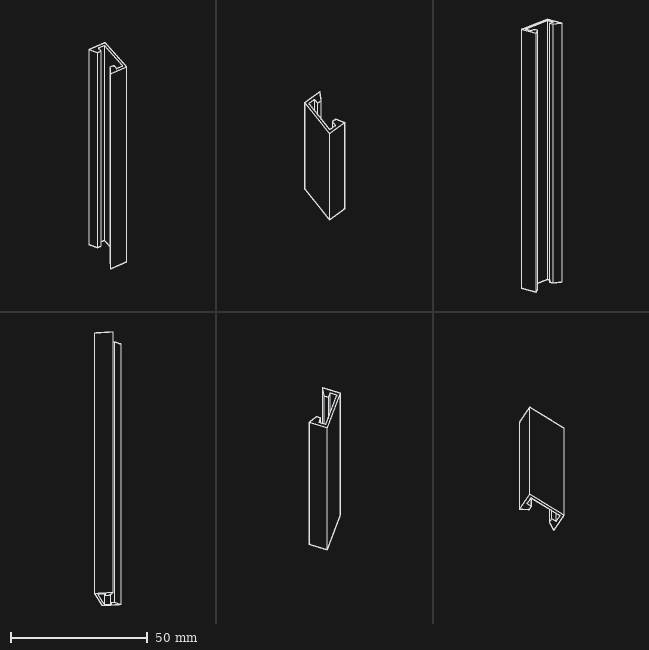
import cadquery as cq

width = 15.0
depth = 7.0
length = 100.0

wall = 1.2
web = 1.0
lip_reach = 3.1
lip_back = 3.6
lip_tip_depth = 5.2

half_width = width / 2
inner_x = half_width - wall
tip_x = half_width - lip_reach
back_y = depth / 2

half_section = [
    (0, back_y),
    (half_width, back_y),
    (half_width, -back_y),
    (tip_x, back_y - lip_tip_depth),
    (tip_x, back_y - lip_back),
    (inner_x, back_y - lip_back),
    (inner_x, back_y - web),
    (0, back_y - web),
]

result = (
    cq.Workplane("XY")
    .workplane(offset=-length / 2)
    .polyline(half_section)
    .mirrorY()
    .extrude(length)
)